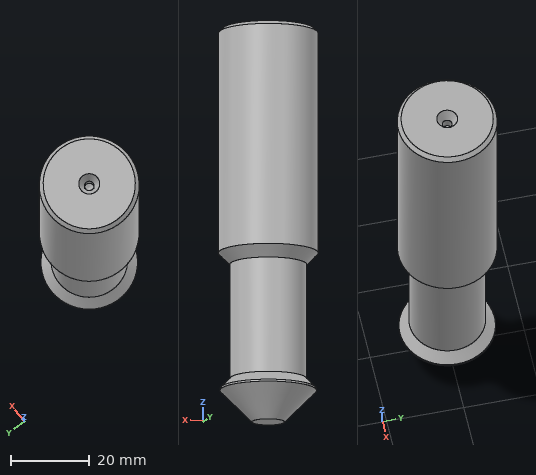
import cadquery as cq
import math

total_length = 101.6
shank_radius = 12.7

top_chamfer = 1.0
neck_radius = 9.8
shoulder_bottom_z = 40.7
shoulder_height = shank_radius - neck_radius

head_radius = 12.3
tip_radius = 4.2
land_height = 0.5
land_bottom_z = head_radius - tip_radius
land_top_z = land_bottom_z + land_height
head_top_z = land_top_z + head_radius - neck_radius

centre_mouth_radius = 2.6
pilot_radius = 1.2
pilot_length = 2.4
countersink_half_angle = math.radians(30)
drill_point_half_angle = math.radians(60)
countersink_depth = (centre_mouth_radius - pilot_radius) / math.tan(countersink_half_angle)
drill_point_length = pilot_radius / math.tan(drill_point_half_angle)


def revolve_profile(points):
    """Revolve a closed (radius, height) outline about the Z axis."""
    return cq.Workplane("XZ").polyline(points).close().revolve(360, (0, 0), (0, 1))


def make_centre_hole():
    """Countersunk pilot hole with a conical drill point."""
    countersink_bottom_z = total_length - countersink_depth
    pilot_bottom_z = countersink_bottom_z - pilot_length
    return revolve_profile([
        (0, total_length),
        (centre_mouth_radius, total_length),
        (pilot_radius, countersink_bottom_z),
        (pilot_radius, pilot_bottom_z),
        (0, pilot_bottom_z - drill_point_length),
    ])


def make_shank():
    """Chamfered shank that steps down through a conical shoulder to the neck."""
    blank = revolve_profile([
        (0, head_top_z),
        (neck_radius, head_top_z),
        (neck_radius, shoulder_bottom_z),
        (shank_radius, shoulder_bottom_z + shoulder_height),
        (shank_radius, total_length - top_chamfer),
        (shank_radius - top_chamfer, total_length),
        (0, total_length),
    ])
    return blank.cut(make_centre_hole())


def make_cutting_head():
    """Double-cone head with a flat tip, seated against the end of the neck."""
    return revolve_profile([
        (0, 0),
        (tip_radius, 0),
        (head_radius, land_bottom_z),
        (head_radius, land_top_z),
        (neck_radius, head_top_z),
        (0, head_top_z),
    ])


shank = make_shank()
cutting_head = make_cutting_head()

result = cq.Compound.makeCompound([shank.val(), cutting_head.val()])